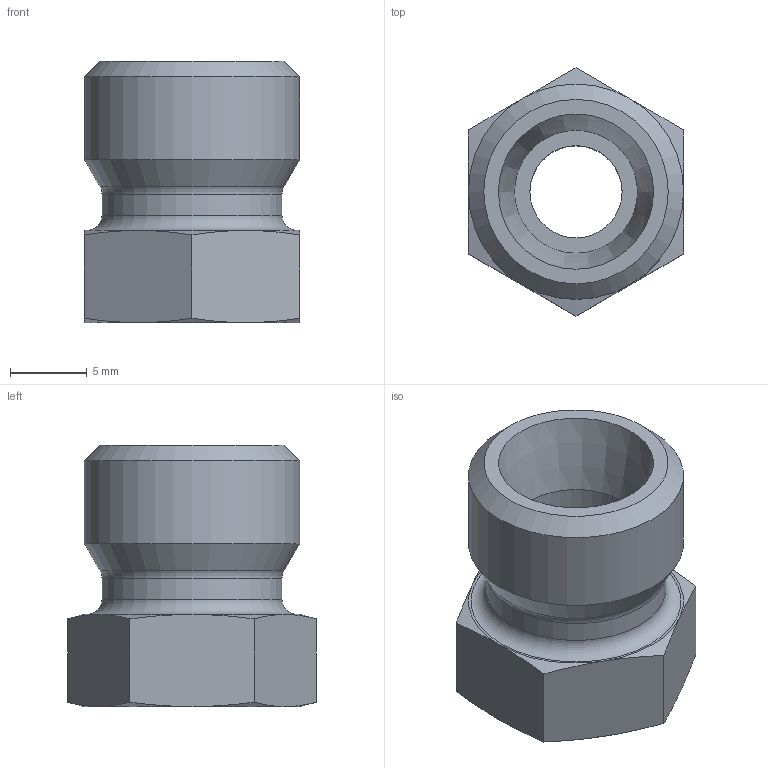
import cadquery as cq
import math

total_height = 17.0
hex_across_flats = 14.0
hex_height = 6.0
hex_sides = 6
hex_half_sector = 180.0 / hex_sides
hex_chamfer_angle = 15.0

stud_diameter = 14.0
stud_end_chamfer = 1.0
neck_diameter = 11.7
neck_fillet = 1.0
neck_cone_angle = 30.0
undercut_width = 4.6

through_diameter = 6.0
socket_depth = 7.0
tube_diameter = 8.0
mouth_diameter = 10.1
seat_half_angle = 12.0


def make_hexagon():
    """Hexagon with two flats facing +X and -X, corners chamfered at both ends."""
    corner_diameter = hex_across_flats / math.cos(math.radians(hex_half_sector))
    prism = (
        cq.Workplane("XY")
        .polygon(hex_sides, corner_diameter)
        .extrude(hex_height)
        .rotate((0, 0, 0), (0, 0, 1), hex_half_sector)
    )
    end_radius = hex_across_flats / 2
    envelope_radius = corner_diameter
    chamfer_drop = (envelope_radius - end_radius) * math.tan(math.radians(hex_chamfer_angle))
    envelope = (
        cq.Workplane("XZ")
        .polyline([
            (0, 0),
            (end_radius, 0),
            (envelope_radius, chamfer_drop),
            (envelope_radius, hex_height - chamfer_drop),
            (end_radius, hex_height),
            (0, hex_height),
        ])
        .close()
        .revolve(360, (0, 0), (0, 1))
    )
    return prism.intersect(envelope)


def make_stud():
    """Stud with a chamfered end and an undercut neck, filleted at both ends."""
    stud_radius = stud_diameter / 2
    neck_radius = neck_diameter / 2
    flank_angle = math.radians(neck_cone_angle)
    flank_top = hex_height + undercut_width
    flank_bottom = flank_top - (stud_radius - neck_radius) / math.tan(flank_angle)

    tangent_length = neck_fillet * math.tan(flank_angle / 2)
    fillet_start = (neck_radius, flank_bottom - tangent_length)
    fillet_middle = (
        neck_radius + neck_fillet * (1 - math.cos(flank_angle / 2)),
        fillet_start[1] + neck_fillet * math.sin(flank_angle / 2),
    )
    fillet_end = (
        neck_radius + neck_fillet * (1 - math.cos(flank_angle)),
        fillet_start[1] + neck_fillet * math.sin(flank_angle),
    )

    quarter_offset = neck_fillet * (1 - math.cos(math.pi / 4))
    quarter_middle = (neck_radius + quarter_offset, hex_height + quarter_offset)

    return (
        cq.Workplane("XZ")
        .moveTo(0, hex_height)
        .lineTo(neck_radius + neck_fillet, hex_height)
        .threePointArc(quarter_middle, (neck_radius, hex_height + neck_fillet))
        .lineTo(*fillet_start)
        .threePointArc(fillet_middle, fillet_end)
        .lineTo(stud_radius, flank_top)
        .lineTo(stud_radius, total_height - stud_end_chamfer)
        .lineTo(stud_radius - stud_end_chamfer, total_height)
        .lineTo(0, total_height)
        .close()
        .revolve(360, (0, 0), (0, 1))
    )


def make_bore():
    """Through hole, cylindrical tube socket and sealing cone."""
    cone_depth = (mouth_diameter - tube_diameter) / 2 / math.tan(math.radians(seat_half_angle))
    shoulder_height = total_height - socket_depth
    return (
        cq.Workplane("XZ")
        .polyline([
            (0, 0),
            (through_diameter / 2, 0),
            (through_diameter / 2, shoulder_height),
            (tube_diameter / 2, shoulder_height),
            (tube_diameter / 2, total_height - cone_depth),
            (mouth_diameter / 2, total_height),
            (0, total_height),
        ])
        .close()
        .revolve(360, (0, 0), (0, 1))
    )


result = make_hexagon().union(make_stud()).cut(make_bore())